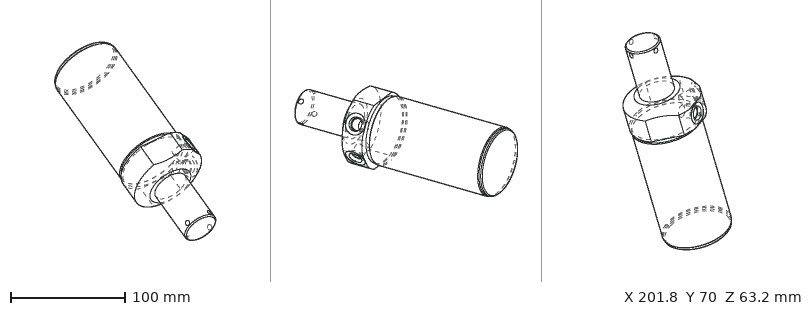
import cadquery as cq
import math

total_length = 201.8
body_end = 115.5
collar_start = 118.9
collar_end = 149.0

body_radius = 31.5
neck_radius = 30.7
end_band_length = 2.8
end_chamfer = 1.0
shoulder_chamfer = body_radius - neck_radius

collar_radius = 35.0
collar_offset = 2.5
collar_height = 63.2
nose_radius = 20.8
nose_half_angle = 60.0

port_angle = 30.0
port_flat_distance = 34.0
port_x = 129.2
spotface_radius = 9.7
spotface_distance = 33.5
port_radius = 6.3
port_depth = 3.6
inner_bore_radius = 5.2
inner_bore_depth = 16.1

rod_diameter = 31.7
rod_radius = rod_diameter / 2
rod_chamfer = 1.2
pin_dimple_x = 197.6
pin_dimple_radius = 2.5
pin_dimple_angles = (45, 135, 225, 315)


def radial_direction(angle):
    """Unit vector across the X axis, measured from +Y towards +Z."""
    return cq.Vector(0, math.cos(math.radians(angle)), math.sin(math.radians(angle)))


def radial_cylinder(x, axis_y, angle, radius, start, length):
    """Cylinder pointing outwards from the line y = axis_y, z = 0."""
    direction = radial_direction(angle)
    base = cq.Vector(x, axis_y, 0) + direction * start
    return cq.Workplane(obj=cq.Solid.makeCylinder(radius, length, base, direction))


def radial_cone(x, axis_y, angle, radius, start):
    """Right-angled conical point narrowing inwards from its base at the given distance."""
    direction = radial_direction(angle)
    base = cq.Vector(x, axis_y, 0) + direction * start
    return cq.Workplane(obj=cq.Solid.makeCone(radius, 0, radius, base, direction * -1))


def make_body():
    profile = [
        (0, 0),
        (0, neck_radius - end_chamfer),
        (end_chamfer, neck_radius),
        (end_band_length, neck_radius),
        (end_band_length + shoulder_chamfer, body_radius),
        (body_end - shoulder_chamfer, body_radius),
        (body_end, neck_radius),
        (collar_start, neck_radius),
        (collar_start, 0),
    ]
    return cq.Workplane("XY").polyline(profile).close().revolve(360, (0, 0, 0), (1, 0, 0))


def make_collar():
    collar_length = collar_end - collar_start
    collar = (
        cq.Workplane("YZ", origin=(collar_start, collar_offset, 0))
        .circle(collar_radius)
        .extrude(collar_length)
    )
    block_width = 4 * collar_radius
    collar = collar.intersect(
        cq.Workplane("YZ", origin=(collar_start, collar_offset, 0))
        .rect(block_width, collar_height)
        .extrude(collar_length)
    )
    for angle in (port_angle, -port_angle):
        flat_limit = (
            cq.Workplane("YZ", origin=(collar_start, 0, 0))
            .center(port_flat_distance - block_width / 2, 0)
            .rect(block_width, block_width)
            .extrude(collar_length)
            .rotate((0, 0, 0), (1, 0, 0), angle)
            .translate((0, collar_offset, 0))
        )
        collar = collar.intersect(flat_limit)

    cone_base_radius = nose_radius + collar_length * math.tan(math.radians(nose_half_angle))
    cone = cq.Solid.makeCone(
        cone_base_radius, nose_radius, collar_length, cq.Vector(collar_start, 0, 0), cq.Vector(1, 0, 0)
    )
    return collar.intersect(cq.Workplane(obj=cone))


def make_rod():
    return (
        cq.Workplane("YZ", origin=(collar_end, 0, 0))
        .circle(rod_radius)
        .extrude(total_length - collar_end)
        .faces(">X")
        .chamfer(rod_chamfer)
    )


def cut_ports(part):
    for angle in (port_angle, -port_angle):
        spotface = radial_cylinder(
            port_x, collar_offset, angle, spotface_radius, spotface_distance, collar_radius - spotface_distance
        )
        bore = radial_cylinder(
            port_x, collar_offset, angle, port_radius, spotface_distance - port_depth, port_depth
        )
        inner_bore = radial_cylinder(
            port_x, collar_offset, angle, inner_bore_radius, spotface_distance - inner_bore_depth, inner_bore_depth
        )
        part = part.cut(spotface).cut(bore).cut(inner_bore)
    return part


def cut_pin_dimples(part):
    for angle in pin_dimple_angles:
        dimple = radial_cone(pin_dimple_x, 0, angle, pin_dimple_radius, rod_radius)
        part = part.cut(dimple)
    return part


result = make_body().union(make_collar()).union(make_rod())
result = cut_ports(result)
result = cut_pin_dimples(result)